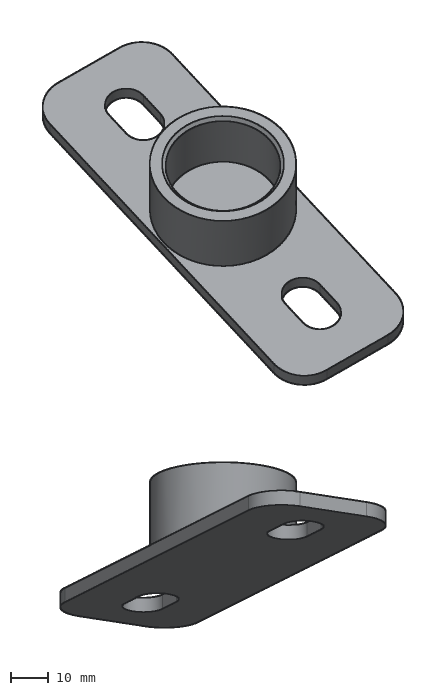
import cadquery as cq

plate_length = 120.0
plate_width = 40.0
plate_thickness = 4.0
corner_radius = 10.0

total_height = 23.0
socket_diameter = 38.6
bore_diameter = 30.2
floor_thickness = 1.0
bore_depth = total_height - plate_thickness - floor_thickness
mouth_diameter = 32.2
mouth_chamfer = (mouth_diameter - bore_diameter) / 2

slot_length = 18.8
slot_width = 11.2
slot_offset = 39.5


def make_plate():
    """Rounded plate resting on Z = 0 with two through slots."""
    plate = (
        cq.Workplane("XY")
        .rect(plate_length, plate_width)
        .extrude(plate_thickness)
        .edges("|Z")
        .fillet(corner_radius)
    )
    slots = (
        cq.Workplane("XY")
        .pushPoints([(-slot_offset, 0), (slot_offset, 0)])
        .slot2D(slot_length, slot_width)
        .extrude(plate_thickness)
    )
    return plate.cut(slots)


def make_socket():
    """Cup on top of the plate, with a blind bore and a chamfered mouth."""
    cup = (
        cq.Workplane("XY")
        .workplane(offset=plate_thickness)
        .circle(socket_diameter / 2)
        .extrude(total_height - plate_thickness)
        .faces(">Z")
        .workplane()
        .hole(bore_diameter, bore_depth)
    )
    bore_rim = cq.selectors.RadiusNthSelector(0)
    return cup.faces(">Z").edges(bore_rim).chamfer(mouth_chamfer)


result = make_plate().union(make_socket())